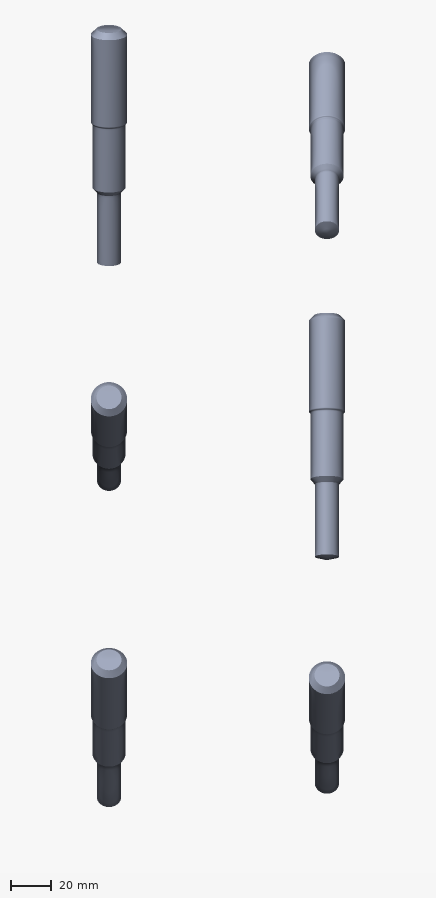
import cadquery as cq

total_length = 123.0

head_radius = 18.0 / 2
body_radius = 16.5 / 2
top_face_radius = 6.2
top_chamfer_height = 2.8
head_bottom = 74.9
step_height = 1.4
step_middle = head_bottom - step_height / 2
step_middle_radius = (head_radius + body_radius) / 2
body_bottom = 40.7
shank_bottom = 38.1

pin_radius = 6.0
tip_height = 1.7


def make_shank():
    """Head and narrower body, with a chamfered top and a conical nose."""
    return (
        cq.Workplane("XZ")
        .moveTo(0, shank_bottom)
        .lineTo(pin_radius, shank_bottom)
        .lineTo(body_radius, body_bottom)
        .lineTo(body_radius, head_bottom - step_height)
        .tangentArcPoint((step_middle_radius, step_middle), relative=False)
        .tangentArcPoint((head_radius, head_bottom), relative=False)
        .lineTo(head_radius, total_length - top_chamfer_height)
        .lineTo(top_face_radius, total_length)
        .lineTo(0, total_length)
        .close()
        .revolve(360, (0, 0), (0, 1))
    )


def make_pin():
    """Round pin seated against the shank's nose, ending in a shallow point at Z = 0."""
    return (
        cq.Workplane("XZ")
        .lineTo(pin_radius, tip_height)
        .lineTo(pin_radius, shank_bottom)
        .lineTo(0, shank_bottom)
        .close()
        .revolve(360, (0, 0), (0, 1))
    )


shank = make_shank()
pin = make_pin()
result = cq.Compound.makeCompound([shank.val(), pin.val()])